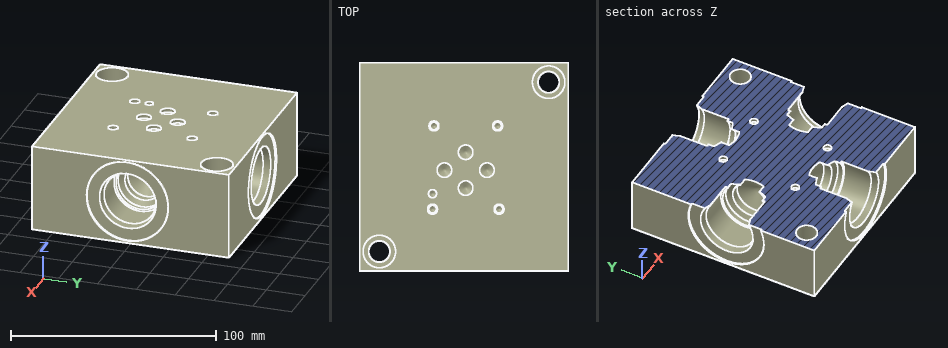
import cadquery as cq
import math

LENGTH = 101.6
WIDTH = 101.6
HEIGHT = 44.5

BOLT_OFFSET = 41.2
BOLT_DIAMETER = 10.3
COUNTERBORE_DIAMETER = 15.8
COUNTERBORE_DEPTH = 11.7

VALVE_ORIGIN = (16.4, 19.9)
SCREW_OFFSETS = [(0, 0), (-0.7, 40.5), (31.7, 40.5), (31.0, 0)]
PIN_OFFSET = (31.7, 33.0)
FLOW_CENTER = (15.5, 21.5)
FLOW_HALF_SPAN_X = 10.4
FLOW_HALF_SPAN_Y = 8.7
FLOW_OFFSETS = [
    (FLOW_CENTER[0] + FLOW_HALF_SPAN_X, FLOW_CENTER[1]),
    (FLOW_CENTER[0] - FLOW_HALF_SPAN_X, FLOW_CENTER[1]),
    (FLOW_CENTER[0], FLOW_CENTER[1] + FLOW_HALF_SPAN_Y),
    (FLOW_CENTER[0], FLOW_CENTER[1] - FLOW_HALF_SPAN_Y),
]
FLOW_DIAMETER = 7.1
FLOW_DEPTH = 2.0
SCREW_DIAMETER = 4.9
SCREW_THREAD_DEPTH = 12.2
SCREW_DRILL_DIAMETER = 3.8
SCREW_DRILL_DEPTH = 16.3
PIN_DIAMETER = 4.0
PIN_DEPTH = 5.1

PORT_X = VALVE_ORIGIN[0] - FLOW_CENTER[0]
PORT_Y = VALVE_ORIGIN[1] - FLOW_CENTER[1]
SPOTFACE_DIAMETER = 42.1
SPOTFACE_DEPTH = 0.8
SEAT_DIAMETER = 29.2
SEAT_END_DIAMETER = 27.4
SEAT_DEPTH = 3.1
THREAD_DIAMETER = 27.0
THREAD_CHAMFER = 0.4
THREAD_DEPTH = 19.3
TAP_DRILL_DIAMETER = 24.9
TAP_DRILL_DEPTH = 22.4
PASSAGE_DIAMETER = 19.1
PASSAGE_DEPTH = 28.4

DRILL_POINT_ANGLE = 118.0


def cone_depth(large_diameter, small_diameter=0.0):
    """Length of a drill-point cone between two diameters."""
    return (large_diameter - small_diameter) / 2 / math.tan(math.radians(DRILL_POINT_ANGLE / 2))


def revolved_cutter(steps):
    """Solid that enters the face z = 0 downwards, from (diameter, depth) steps ending on the axis."""
    profile = [(0, 0)] + [(diameter / 2, -depth) for diameter, depth in steps]
    return cq.Workplane("XZ").polyline(profile).close().revolve(360, (0, 0, 0), (0, 1, 0))


def drilled_hole(diameter, depth):
    """Blind hole with a drill-point bottom; depth is that of the full diameter."""
    return revolved_cutter([(diameter, 0), (diameter, depth), (0, depth + cone_depth(diameter))])


def screw_hole():
    """Threaded hole with its narrower tap drill running on below."""
    return revolved_cutter([
        (SCREW_DIAMETER, 0),
        (SCREW_DIAMETER, SCREW_THREAD_DEPTH),
        (SCREW_DRILL_DIAMETER, SCREW_THREAD_DEPTH),
        (SCREW_DRILL_DIAMETER, SCREW_DRILL_DEPTH),
        (0, SCREW_DRILL_DEPTH + cone_depth(SCREW_DRILL_DIAMETER)),
    ])


def bolt_hole():
    """Through hole with a counterbore at the top."""
    return revolved_cutter([
        (COUNTERBORE_DIAMETER, 0),
        (COUNTERBORE_DIAMETER, COUNTERBORE_DEPTH),
        (BOLT_DIAMETER, COUNTERBORE_DEPTH),
        (BOLT_DIAMETER, HEIGHT),
        (0, HEIGHT),
    ])


def side_port():
    """Threaded port: spotface, tapered seal seat, chamfered thread, tap drill and passage."""
    seat_end = SPOTFACE_DEPTH + SEAT_DEPTH
    return revolved_cutter([
        (SPOTFACE_DIAMETER, 0),
        (SPOTFACE_DIAMETER, SPOTFACE_DEPTH),
        (SEAT_DIAMETER, SPOTFACE_DEPTH),
        (SEAT_END_DIAMETER, seat_end),
        (THREAD_DIAMETER, seat_end + THREAD_CHAMFER),
        (THREAD_DIAMETER, THREAD_DEPTH),
        (TAP_DRILL_DIAMETER, THREAD_DEPTH),
        (TAP_DRILL_DIAMETER, TAP_DRILL_DEPTH),
        (PASSAGE_DIAMETER, TAP_DRILL_DEPTH + cone_depth(TAP_DRILL_DIAMETER, PASSAGE_DIAMETER)),
        (PASSAGE_DIAMETER, PASSAGE_DEPTH),
        (0, PASSAGE_DEPTH + cone_depth(PASSAGE_DIAMETER)),
    ])


def valve_position(offset):
    """Point on the top face for an offset left and down from the valve origin."""
    left, down = offset
    return (VALVE_ORIGIN[0] - left, VALVE_ORIGIN[1] - down, HEIGHT / 2)


result = cq.Workplane("XY").box(LENGTH, WIDTH, HEIGHT)

for side in (-1, 1):
    result = result.cut(bolt_hole().translate((side * BOLT_OFFSET, side * BOLT_OFFSET, HEIGHT / 2)))

for offset in SCREW_OFFSETS:
    result = result.cut(screw_hole().translate(valve_position(offset)))
for offset in FLOW_OFFSETS:
    result = result.cut(drilled_hole(FLOW_DIAMETER, FLOW_DEPTH).translate(valve_position(offset)))
result = result.cut(drilled_hole(PIN_DIAMETER, PIN_DEPTH).translate(valve_position(PIN_OFFSET)))

for side in (-1, 1):
    y_port = side_port().rotate((0, 0, 0), (1, 0, 0), -side * 90)
    result = result.cut(y_port.translate((PORT_X, side * WIDTH / 2, 0)))
    x_port = side_port().rotate((0, 0, 0), (0, 1, 0), side * 90)
    result = result.cut(x_port.translate((side * LENGTH / 2, PORT_Y, 0)))